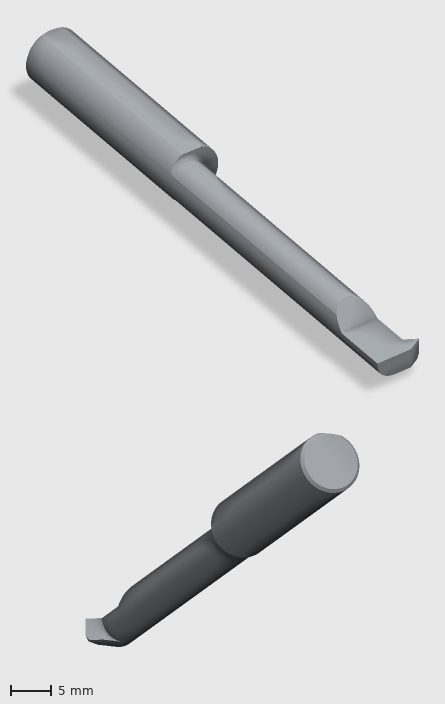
import cadquery as cq
import math

total_length = 76.2
shank_diameter = 7.9
shank_length = 30.7
shank_chamfer = 0.4
shank_flat_depth = 0.3
shank_radius = shank_diameter / 2

neck_radius = 2.8
neck_axis_y = -1.33
root_fillet = 0.6

rake_face_z = 0.0
rake_face_start_x = 68.5
ramp_angle = 45.0

tooth_tip_x = 75.0
tooth_tip_y = 3.3
tooth_base_y = 1.4
tooth_angle = 60.0
flank_slope = math.tan(math.radians(tooth_angle / 2))
front_corner_y = tooth_tip_y - (total_length - tooth_tip_x) / flank_slope


def make_shank():
    """Round shank with a chamfered back end and a clamping flat on top."""
    shank = cq.Workplane("YZ").circle(shank_radius).extrude(shank_length)
    shank = shank.faces("<X").chamfer(shank_chamfer)
    flat_z = shank_radius - shank_flat_depth
    flat_cutter = cq.Workplane("XY").workplane(offset=flat_z).rect(
        2 * shank_length, shank_diameter
    ).extrude(shank_flat_depth)
    return shank.cut(flat_cutter)


def make_neck():
    """Round neck with a concave fillet where it leaves the shank."""
    fillet_end_x = shank_length + root_fillet
    outer_radius = neck_radius + root_fillet
    arc_offset = root_fillet * (1 - math.sin(math.pi / 4))
    profile = (
        cq.Workplane("XZ", origin=(0, neck_axis_y, 0))
        .moveTo(shank_length, 0)
        .lineTo(shank_length, outer_radius)
        .threePointArc(
            (shank_length + arc_offset, neck_radius + arc_offset),
            (fillet_end_x, neck_radius),
        )
        .lineTo(total_length, neck_radius)
        .lineTo(total_length, 0)
        .close()
    )
    return profile.revolve(360, (0, 0, 0), (1, 0, 0))


def make_tooth():
    """Pointed tooth, as deep as the half neck below the rake face."""
    back_x = tooth_tip_x - (tooth_tip_y - tooth_base_y) * flank_slope
    outline = [
        (back_x, neck_axis_y),
        (back_x, tooth_base_y),
        (tooth_tip_x, tooth_tip_y),
        (total_length, front_corner_y),
        (total_length, neck_axis_y),
    ]
    tooth = cq.Workplane("XY").workplane(offset=rake_face_z).polyline(outline).close()
    return tooth.extrude(-(neck_radius + rake_face_z))


def make_head_cutter():
    """Material above the rake face and its ramp."""
    ramp_height = shank_radius - rake_face_z
    ramp_length = ramp_height / math.tan(math.radians(ramp_angle))
    outline = [
        (rake_face_start_x, rake_face_z),
        (rake_face_start_x - ramp_length, shank_radius),
        (total_length, shank_radius),
        (total_length, rake_face_z),
    ]
    return cq.Workplane("XZ").polyline(outline).close().extrude(shank_radius, both=True)


def make_front_corner_cutter():
    """Continues the front tooth flank through the corner of the neck."""
    outline = [
        (tooth_tip_x, tooth_tip_y),
        (total_length, tooth_tip_y),
        (total_length, front_corner_y),
    ]
    return cq.Workplane("XY").polyline(outline).close().extrude(shank_radius, both=True)


envelope = cq.Workplane("YZ").circle(shank_radius).extrude(total_length)
front = make_neck().cut(make_head_cutter()).union(make_tooth())
front = front.cut(make_front_corner_cutter()).intersect(envelope)
result = make_shank().union(front)